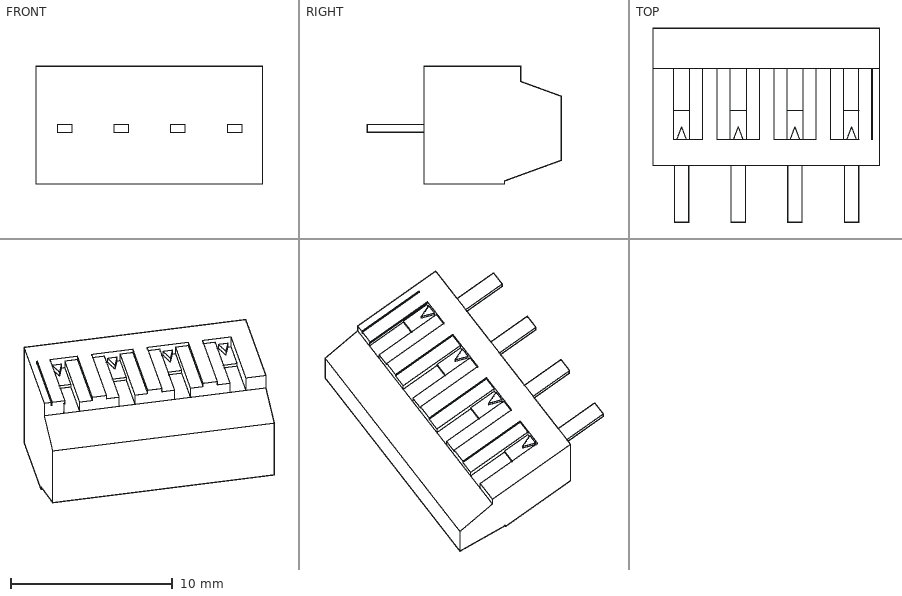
import cadquery as cq
import math

width = 14.0
depth = 8.5
height = 7.3
slope_angle = 20.0
upper_slope_start = 6.0
upper_ledge_drop = 0.95
lower_slope_start = 5.0
lower_step_height = 0.2

contact_count = 4
pitch = 3.5
first_contact_x = 1.77

pin_width = 0.9
pin_thickness = 0.5
pin_length = 3.5
pin_center_z = 3.45

recess_front = 1.6
pocket_width = 2.6
pocket_depth = 0.25
slot_width = 1.0
slot_depth = upper_ledge_drop

plate_rear = 3.4
plate_height = 0.2
barb_width = 0.6
barb_tip = 2.4
barb_height = 0.3

strip_left = 12.7
strip_right = 13.5

recess_length = upper_slope_start - recess_front
upper_ledge_z = height - upper_ledge_drop
slot_floor = height - slot_depth
plate_top = slot_floor + plate_height
contact_positions = [first_contact_x + i * pitch for i in range(contact_count)]


def box(x_start, x_size, y_start, y_size, z_start, z_size):
    """Box given by its lowest corner and its size along each axis."""
    return cq.Workplane("XY").box(x_size, y_size, z_size, centered=False).translate((x_start, y_start, z_start))


def housing():
    """Side profile with sloped rear edges, extruded along the row."""
    slope = math.tan(math.radians(slope_angle))
    upper_rear_z = upper_ledge_z - slope * (depth - upper_slope_start)
    lower_rear_z = lower_step_height + slope * (depth - lower_slope_start)
    profile = [
        (0, 0),
        (lower_slope_start, 0),
        (lower_slope_start, lower_step_height),
        (depth, lower_rear_z),
        (depth, upper_rear_z),
        (upper_slope_start, upper_ledge_z),
        (upper_slope_start, height),
        (0, height),
    ]
    return cq.Workplane("YZ").polyline(profile).close().extrude(width)


def pocket(index):
    """Shallow recess around a slot; the first one starts at the left wall of its slot."""
    center = contact_positions[index]
    right = center + pocket_width / 2
    left = center - (slot_width if index == 0 else pocket_width) / 2
    return box(left, right - left, recess_front, recess_length, height - pocket_depth, pocket_depth)


def slot(center):
    return box(center - slot_width / 2, slot_width, recess_front, recess_length, slot_floor, slot_depth)


def contact_plate(center):
    plate_length = plate_rear - recess_front
    return box(center - slot_width / 2, slot_width, recess_front, plate_length, slot_floor, plate_height)


def barb(center):
    """Triangular prism on the contact plate, pointing toward the rear."""
    outline = [
        (center - barb_width / 2, recess_front),
        (center + barb_width / 2, recess_front),
        (center, barb_tip),
    ]
    return cq.Workplane("XY").workplane(offset=plate_top).polyline(outline).close().extrude(barb_height)


def pin(center):
    pin_bottom = pin_center_z - pin_thickness / 2
    return box(center - pin_width / 2, pin_width, -pin_length, pin_length, pin_bottom, pin_thickness)


def bridging_strip():
    strip_width = strip_right - strip_left
    return box(strip_left, strip_width, recess_front, recess_length, height - pocket_depth, pocket_depth)


result = housing()
for index, contact_x in enumerate(contact_positions):
    result = result.cut(pocket(index)).cut(slot(contact_x))
    result = result.union(contact_plate(contact_x)).union(barb(contact_x))
    result = result.union(pin(contact_x))
result = result.union(bridging_strip())